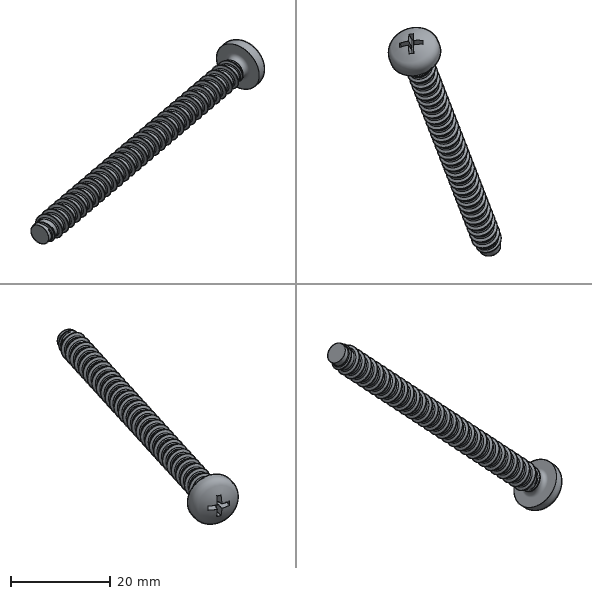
import cadquery as cq
import math

TOTAL_LENGTH = 74.1
HEAD_HEIGHT = 4.15
SHANK_LENGTH = TOTAL_LENGTH - HEAD_HEIGHT

RECESS_SPAN = 4.9
RECESS_WIDTH = 1.05
RECESS_DEPTH = 2.2
RECESS_TAPER = 8.0

HEAD_RADIUS = 5.25
RIM_HEIGHT = 1.3
CROWN_SPHERE_RADIUS = 8.0
CROWN_RADIUS = 4.1

NECK_RADIUS = 2.4
NECK_LENGTH = 1.55
NECK_FILLET = 0.8
NECK_CONE_LENGTH = 0.6
CORE_RADIUS = 4.4 / 2
CONE_OVERLAP = 0.1

CRESTS_SPAN = 62.1
CRESTS_TURNS = 29
PITCH = CRESTS_SPAN / CRESTS_TURNS
CREST_RADIUS = 6.0 / 2
CREST_WIDTH = 0.15
SHOULDER_RADIUS = 4.8 / 2
SHOULDER_WIDTH = 0.7
FOOT_WIDTH = 1.2
LAST_CREST = 3.7
RUN_OUT_START = 0.3
RUN_OUT_END = 3.1
RUN_IN_START = 0.9
RUN_IN_END = 3.1
SPARE_TURNS = 3
POINTS_PER_TURN = 24

THREAD_PROFILE = [
    (-FOOT_WIDTH / 2, CORE_RADIUS),
    (-SHOULDER_WIDTH / 2, SHOULDER_RADIUS),
    (-CREST_WIDTH / 2, CREST_RADIUS),
    (CREST_WIDTH / 2, CREST_RADIUS),
    (SHOULDER_WIDTH / 2, SHOULDER_RADIUS),
    (FOOT_WIDTH / 2, CORE_RADIUS),
    (PITCH - FOOT_WIDTH / 2, CORE_RADIUS),
]


def crown_drop(radius):
    """Depth of the spherical crown below its apex at a distance from the axis."""
    return CROWN_SPHERE_RADIUS - math.sqrt(CROWN_SPHERE_RADIUS**2 - radius**2)


CROWN_APEX = HEAD_HEIGHT + crown_drop(RECESS_WIDTH / 2 * math.sqrt(2))


def make_head():
    """Head, neck fillet, neck and neck cone as one turned profile."""
    cone_end = -NECK_LENGTH - NECK_CONE_LENGTH
    fillet_mid = NECK_FILLET * (1 - 0.5**0.5)
    return (
        cq.Workplane("XZ")
        .moveTo(0, cone_end)
        .lineTo(CORE_RADIUS - CONE_OVERLAP, cone_end)
        .lineTo(NECK_RADIUS, -NECK_LENGTH)
        .lineTo(NECK_RADIUS, -NECK_FILLET)
        .threePointArc((NECK_RADIUS + fillet_mid, -fillet_mid), (NECK_RADIUS + NECK_FILLET, 0))
        .lineTo(HEAD_RADIUS, 0)
        .lineTo(HEAD_RADIUS, RIM_HEIGHT)
        .tangentArcPoint((CROWN_RADIUS, CROWN_APEX - crown_drop(CROWN_RADIUS)), relative=False)
        .threePointArc((CROWN_RADIUS / 2, CROWN_APEX - crown_drop(CROWN_RADIUS / 2)), (0, CROWN_APEX))
        .close()
        .revolve(360, (0, 0), (0, 1))
    )


def make_recess():
    """Tapered cross cutter reaching down from the top of the head."""
    bar = cq.Workplane("XY", origin=(0, 0, CROWN_APEX)).rect(RECESS_SPAN, RECESS_WIDTH)
    arm = bar.extrude(-RECESS_DEPTH, taper=RECESS_TAPER)
    return arm.union(arm.rotate((0, 0, 0), (0, 0, 1), 90))


def thread_fullness(height):
    """Share of the full thread depth at a height: 0 at both ends, 1 in between."""
    above_tip = (height + SHANK_LENGTH - RUN_OUT_START) / (RUN_OUT_END - RUN_OUT_START)
    below_seat = (-height - RUN_IN_START) / (RUN_IN_END - RUN_IN_START)
    return max(0, min(1, above_tip, below_seat))


def thread_point(start, turn, offset, radius):
    """Point of a thread edge after a number of turns from its start height."""
    crest = start + PITCH * turn
    local_radius = CORE_RADIUS + (radius - CORE_RADIUS) * thread_fullness(crest)
    angle = 2 * math.pi * turn
    return cq.Vector(local_radius * math.cos(angle), local_radius * math.sin(angle), crest + offset)


def thread_edge(start, offset, radius):
    """One right-hand turn of a thread edge, starting on the +X side."""
    turns = [i / POINTS_PER_TURN for i in range(POINTS_PER_TURN + 1)]
    return cq.Edge.makeSpline([thread_point(start, turn, offset, radius) for turn in turns])


def end_faces(start):
    """Helical ramp and radial wall that close the threaded rod after a whole turn."""
    foot = start + THREAD_PROFILE[0][0]
    axis_low = cq.Vector(0, 0, foot)
    axis_high = cq.Vector(0, 0, foot + PITCH)
    axis_edge = cq.Edge.makeLine(axis_low, axis_high)
    ramp = cq.Face.makeRuledSurface(axis_edge, thread_edge(start, *THREAD_PROFILE[0]))
    outline = [thread_point(start, 0, *corner) for corner in THREAD_PROFILE]
    wall = cq.Face.makeFromWires(cq.Wire.makePolygon([axis_low, *outline, axis_high], close=True))
    return [ramp, wall]


def make_threaded_shank():
    """Core and thread as one rod of helical strips, cut square at the tip."""
    first = LAST_CREST - SHANK_LENGTH - SPARE_TURNS * PITCH
    turn_count = math.ceil((-NECK_LENGTH + FOOT_WIDTH / 2 - first) / PITCH)
    faces = end_faces(first) + end_faces(first + turn_count * PITCH)
    for turn in range(turn_count):
        start = first + turn * PITCH
        edges = [thread_edge(start, *corner) for corner in THREAD_PROFILE[:-1]]
        edges.append(thread_edge(start + PITCH, *THREAD_PROFILE[0]))
        faces += [cq.Face.makeRuledSurface(low, high) for low, high in zip(edges, edges[1:])]
    rod = cq.Workplane(cq.Solid.makeSolid(cq.Shell.makeShell(faces)))
    trim_height = SPARE_TURNS * PITCH
    trim = cq.Workplane("XY", origin=(0, 0, -SHANK_LENGTH)).circle(HEAD_RADIUS).extrude(-trim_height)
    return rod.cut(trim, clean=False)


screw = make_head().union(make_threaded_shank(), clean=False).cut(make_recess(), clean=False)

result = screw.rotate((0, 0, 0), (1, 0, 0), -90)